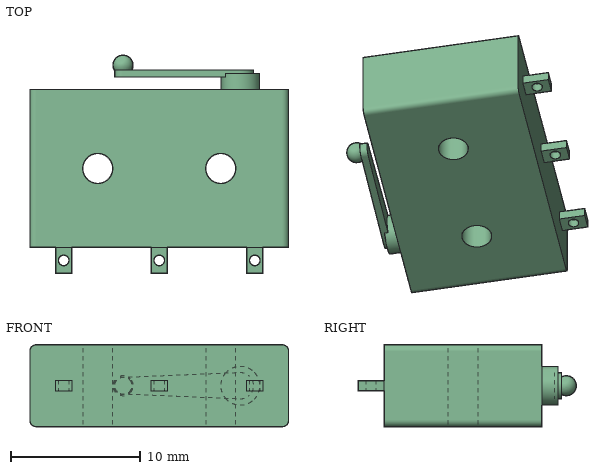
import cadquery as cq

body_length = 20.05
body_depth = 12.22
body_height = 6.35
corner_radius = 0.5

mount_hole_diameter = 2.3
mount_hole_spacing = 9.52

terminal_pitch = 7.4
terminal_width = 1.26
terminal_thickness = 0.8
terminal_length = 2.0
terminal_hole_diameter = 0.8

pivot_x = 6.27
pivot_diameter = 3.0
pivot_height = 1.25

lever_gap = 0.96
lever_thickness = 0.56
lever_pivot_radius = 1.02
lever_tip_radius = 0.65
ball_x = -2.8
ball_radius = 0.78
rear_projection = 2.67
ball_y = rear_projection - ball_radius


def rear_plane(offset):
    """Sketch plane facing +Y, a given distance behind the body."""
    return cq.Workplane(cq.Plane(origin=(0, offset, 0), xDir=(1, 0, 0), normal=(0, 1, 0)))


def make_body():
    body = cq.Workplane("XY").box(body_length, body_depth, body_height)
    body = body.translate((0, -body_depth / 2, 0)).edges("|Y").fillet(corner_radius)
    holes = (
        cq.Workplane("XY")
        .center(0, -body_depth / 2)
        .rarray(mount_hole_spacing, 0.2, 2, 1)
        .circle(mount_hole_diameter / 2)
        .extrude(body_height, both=True)
    )
    return body.cut(holes)


def make_terminals():
    return (
        cq.Workplane("XY")
        .center(0, -body_depth - terminal_length / 2)
        .rarray(terminal_pitch, 0.2, 3, 1)
        .rect(terminal_width, terminal_length)
        .rarray(terminal_pitch, 0.2, 3, 1)
        .circle(terminal_hole_diameter / 2)
        .extrude(terminal_thickness / 2, both=True)
    )


def make_pivot():
    return rear_plane(0).center(pivot_x, 0).circle(pivot_diameter / 2).extrude(pivot_height)


def make_lever():
    return (
        rear_plane(lever_gap)
        .moveTo(ball_x, lever_tip_radius)
        .lineTo(pivot_x, lever_pivot_radius)
        .threePointArc((pivot_x + lever_pivot_radius, 0), (pivot_x, -lever_pivot_radius))
        .lineTo(ball_x, -lever_tip_radius)
        .threePointArc((ball_x - lever_tip_radius, 0), (ball_x, lever_tip_radius))
        .close()
        .extrude(lever_thickness)
    )


def make_ball():
    """Ball cut flat where it sits on the rear face of the lever."""
    lever_rear = lever_gap + lever_thickness
    ball = cq.Workplane("XY").sphere(ball_radius).translate((ball_x, ball_y, 0))
    keep = rear_plane(lever_rear).center(ball_x, 0).circle(2 * ball_radius).extrude(rear_projection)
    return ball.intersect(keep)


result = make_body().union(make_terminals()).union(make_pivot()).union(make_lever()).union(make_ball())